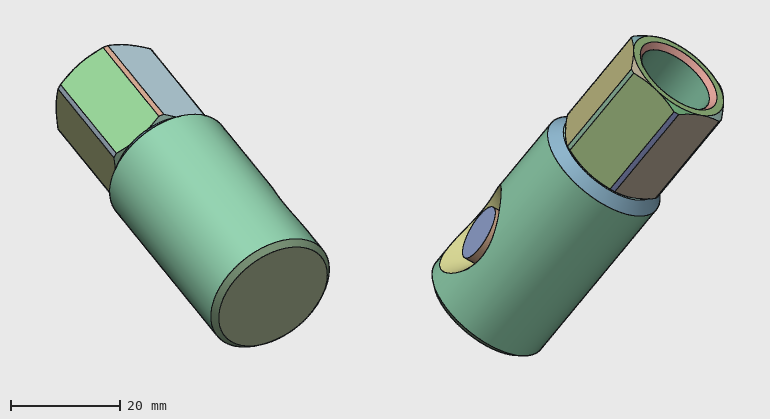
import cadquery as cq
import math

total_length = 62.8
body_diameter = 25.0
shoulder_chamfer = 2.1
end_chamfer = 1.05

hex_length = 22.15
hex_across_flats = 20.0
hex_corner_diameter = 22.5
hex_chamfer_angle = 30.0

bore_diameter = 15.0
bore_depth = hex_length
bore_chamfer = 1.0

recess_x = 49.25
recess_mouth_radius = 10.0
stud_radius = 5.35
stud_top_depth = 1.9

body_radius = body_diameter / 2


def revolve_about_x(profile):
    """Turn a closed profile of (x, radius) points about the X axis."""
    return cq.Workplane("XY").polyline(profile).close().revolve(360, (0, 0, 0), (1, 0, 0))


def make_body():
    body_length = total_length - hex_length
    body = cq.Workplane("YZ").workplane(offset=hex_length).circle(body_radius).extrude(body_length)
    return body.faces("<X").chamfer(shoulder_chamfer).faces(">X").chamfer(end_chamfer)


def make_hex_head():
    full_corner_diameter = hex_across_flats / math.cos(math.radians(30))
    prism = (
        cq.Workplane("YZ")
        .transformed(rotate=(0, 0, 90))
        .polygon(6, full_corner_diameter)
        .extrude(hex_length)
    )
    flat_radius = hex_across_flats / 2
    corner_radius = hex_corner_diameter / 2
    chamfer_length = (corner_radius - flat_radius) * math.tan(math.radians(hex_chamfer_angle))
    envelope = revolve_about_x([
        (0, 0),
        (0, flat_radius),
        (chamfer_length, corner_radius),
        (hex_length - chamfer_length, corner_radius),
        (hex_length, flat_radius),
        (hex_length, 0),
    ])
    return prism.intersect(envelope)


def make_bore():
    bore_radius = bore_diameter / 2
    return revolve_about_x([
        (0, 0),
        (0, bore_radius + bore_chamfer),
        (bore_chamfer, bore_radius),
        (bore_depth, bore_radius),
        (bore_depth, 0),
    ])


def make_side_recess():
    foot_depth = recess_mouth_radius - stud_radius
    profile = [
        (recess_x, body_radius),
        (recess_x + recess_mouth_radius, body_radius),
        (recess_x + stud_radius, body_radius - foot_depth),
        (recess_x + stud_radius, body_radius - stud_top_depth),
        (recess_x, body_radius - stud_top_depth),
    ]
    return cq.Workplane("XY").polyline(profile).close().revolve(360, (recess_x, 0, 0), (recess_x, 1, 0))


result = make_body().union(make_hex_head()).cut(make_bore()).cut(make_side_recess())